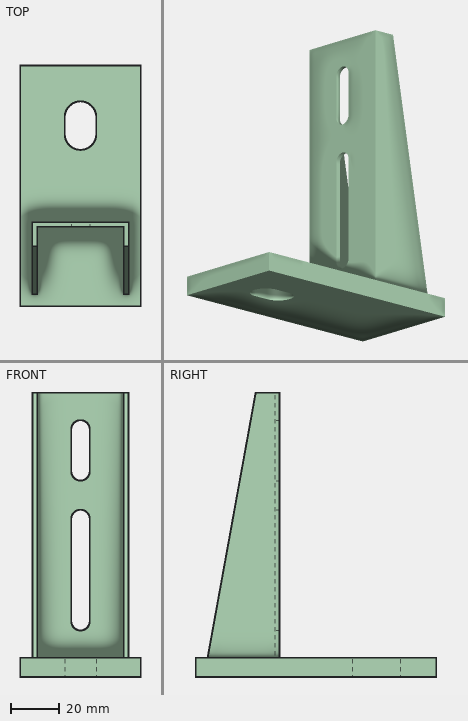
import cadquery as cq

total_height = 118.0

base_width = 50.0
base_length = 100.0
base_thickness = 8.0

base_slot_width = 13.0
base_slot_length = 20.1
base_slot_y = base_length / 4

channel_width = 40.0
wall_thickness = 2.0
channel_top_depth = 10.0
channel_foot_depth = 30.0
channel_front_gap = 5.0
channel_front_y = -base_length / 2 + channel_front_gap
channel_back_y = channel_front_y + channel_foot_depth

wall_slot_width = 7.5
upper_slot_length = 25.0
upper_slot_z = 94.0
lower_slot_length = 2 * upper_slot_length
lower_slot_z = 44.4


def make_base():
    """Flat plate with one round-ended slot behind the channel."""
    plate = cq.Workplane("XY").box(base_width, base_length, base_thickness, centered=(True, True, False))
    slot = (
        cq.Workplane("XY")
        .center(0, base_slot_y)
        .slot2D(base_slot_length, base_slot_width, 90)
        .extrude(base_thickness)
    )
    return plate.cut(slot)


def make_wall_slot(length, center_z):
    """Cutter for an upright round-ended slot through the back wall."""
    return (
        cq.Workplane("XZ", origin=(0, channel_back_y, 0))
        .center(0, center_z)
        .slot2D(length, wall_slot_width, 90)
        .extrude(wall_thickness)
    )


def make_channel():
    """U-shaped upright, open to -Y, whose side walls narrow towards the top."""
    side_profile = [
        (channel_back_y, base_thickness),
        (channel_front_y, base_thickness),
        (channel_back_y - channel_top_depth, total_height),
        (channel_back_y, total_height),
    ]
    outer = cq.Workplane("YZ").polyline(side_profile).close().extrude(channel_width / 2, both=True)

    inside_width = channel_width - 2 * wall_thickness
    inside_depth = channel_foot_depth - wall_thickness
    inside = (
        cq.Workplane("XY", origin=(0, channel_front_y + inside_depth / 2, base_thickness))
        .rect(inside_width, inside_depth)
        .extrude(total_height - base_thickness)
    )
    channel = outer.cut(inside)

    for length, center_z in ((upper_slot_length, upper_slot_z), (lower_slot_length, lower_slot_z)):
        channel = channel.cut(make_wall_slot(length, center_z))
    return channel


base = make_base()
channel = make_channel()

result = cq.Compound.makeCompound([*base.solids().vals(), *channel.solids().vals()])